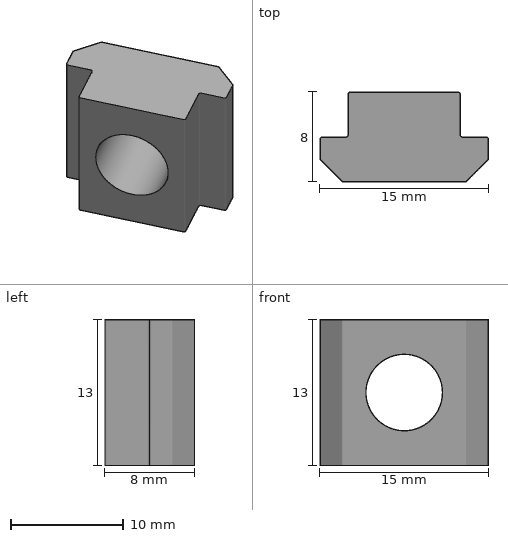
import cadquery as cq

WIDTH = 15.0
DEPTH = 8.0
HEIGHT = 13.0

FLANGE_DEPTH = DEPTH / 2
STEM_WIDTH = WIDTH * 2 / 3
CHAMFER = FLANGE_DEPTH / 2
EDGE_RADIUS = 0.2

HOLE_DIAMETER = 6.8

half_width = WIDTH / 2
half_stem = STEM_WIDTH / 2


def section_body():
    """Extrude the chamfered T along Z, with all its long edges rounded."""
    right_side = [
        (half_width - CHAMFER, 0),
        (half_width, CHAMFER),
        (half_width, FLANGE_DEPTH),
        (half_stem, FLANGE_DEPTH),
        (half_stem, DEPTH),
    ]
    left_side = [(-x, y) for x, y in reversed(right_side)]
    body = cq.Workplane("XY").polyline(right_side + left_side).close().extrude(HEIGHT)
    return body.edges("|Z").fillet(EDGE_RADIUS)


def through_hole():
    """Cylinder along Y through the middle of the nut."""
    return (
        cq.Workplane("XZ", origin=(0, DEPTH, HEIGHT / 2))
        .circle(HOLE_DIAMETER / 2)
        .extrude(DEPTH)
    )


result = section_body().cut(through_hole())